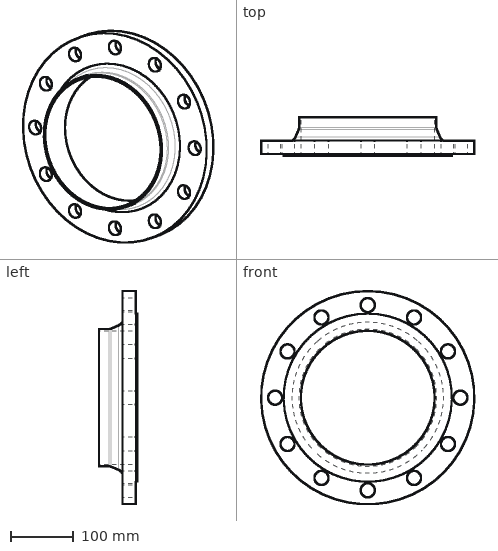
import cadquery as cq

flange_diameter = 340.0
total_length = 62.0
face_diameter = 268.0
face_height = 3.0
flange_thickness = 21.5
bore_diameter = 213.0

pipe_diameter = 219.0
pipe_length = 18.0
cone_base_diameter = 230.5
neck_bend_radius = 7.5
root_height = 6.0
root_diameter = 241.0

hole_count = 12
hole_diameter = 22.0
bolt_circle_diameter = 295.0

front_y = -total_length / 2
flange_front_y = front_y + face_height
flange_back_y = flange_front_y + flange_thickness
pipe_end_y = total_length / 2
cone_top_y = pipe_end_y - pipe_length
cone_base_y = flange_back_y + root_height


def circle_at(y, diameter):
    """Select the circular edge of the given diameter at height y on the axis."""
    margin = 0.5
    reach = diameter / 2 + margin
    return cq.selectors.BoxSelector(
        (-reach, y - margin, -reach),
        (reach, y + margin, reach),
        boundingbox=True,
    )


def disc(start_y, end_y, diameter):
    """Solid cylinder on the Y axis."""
    return cq.Workplane("XZ", origin=(0, end_y, 0)).circle(diameter / 2).extrude(end_y - start_y)


def neck_and_flange():
    """Revolve the solid half section (Y, radius) about the Y axis and round the neck bend."""
    body = (
        cq.Workplane("YZ")
        .moveTo(pipe_end_y, 0)
        .lineTo(pipe_end_y, pipe_diameter / 2)
        .lineTo(cone_top_y, pipe_diameter / 2)
        .lineTo(cone_base_y, cone_base_diameter / 2)
        .tangentArcPoint((flange_back_y, root_diameter / 2), relative=False)
        .lineTo(flange_back_y, flange_diameter / 2)
        .lineTo(flange_front_y, flange_diameter / 2)
        .lineTo(flange_front_y, face_diameter / 2)
        .lineTo(front_y, face_diameter / 2)
        .lineTo(front_y, 0)
        .close()
        .revolve(360, (0, 0, 0), (1, 0, 0))
    )
    return body.edges(circle_at(cone_top_y, pipe_diameter)).fillet(neck_bend_radius)


def bolt_holes():
    """Cylinders through the flange, spaced evenly on the bolt circle."""
    return (
        cq.Workplane("XZ", origin=(0, flange_back_y, 0))
        .polarArray(bolt_circle_diameter / 2, 0, 360, hole_count)
        .circle(hole_diameter / 2)
        .extrude(flange_thickness)
    )


bore = disc(front_y, pipe_end_y, bore_diameter)
result = neck_and_flange().cut(bore).cut(bolt_holes())